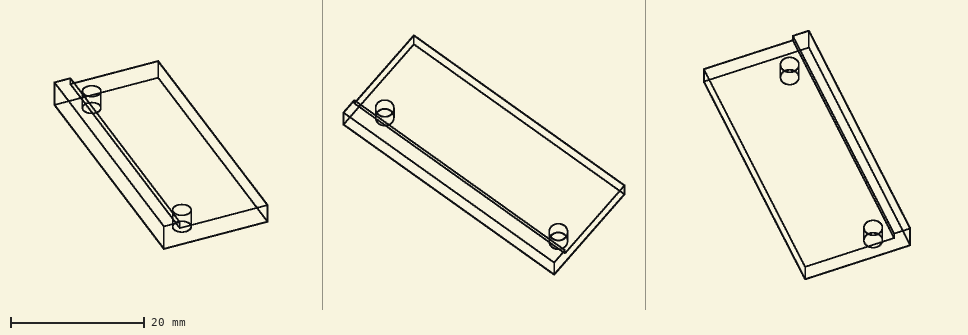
import cadquery as cq

length = 40.25
width = 17.05
height = 4.2

lip_width = 2.6
lip_rise = 1.1
plate_thickness = height - lip_rise

hole_diameter = 2.78
hole_spacing = 33.17
hole_from_left = 2.98
hole_from_front = 4.8

front_y = -width / 2
first_hole_x = -length / 2 + hole_from_left
hole_y = front_y + hole_from_front

plate = cq.Workplane("XY").box(length, width, plate_thickness, centered=(True, True, False))

lip = (
    cq.Workplane("XY")
    .box(length, lip_width, height, centered=(True, False, False))
    .translate((0, front_y, 0))
)

holes = (
    cq.Workplane("XY")
    .pushPoints([(first_hole_x, hole_y), (first_hole_x + hole_spacing, hole_y)])
    .circle(hole_diameter / 2)
    .extrude(plate_thickness)
)

result = plate.union(lip).cut(holes)